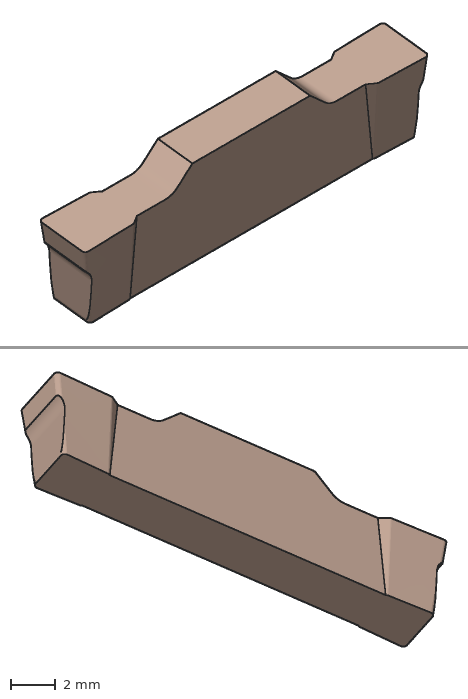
import cadquery as cq
import math

length = 20.6
height = 5.77
front_width = 3.1

body_width = 2.3
deck_height = 4.57
plateau_length = 7.05
ramp_angle = 45.0
ramp_blend_radius = 1.03

neck_start = 6.84
neck_end = 7.31
neck_width = 2.93
side_draft = 0.27
end_draft = 0.54
corner_radius = 0.2
neck_radius = 0.2
head_overlap = 0.62

relief_face = 9.78
relief_straight_height = 2.58
relief_radius = 0.95
relief_sweep = 60.0
relief_margin = 1.03

half_length = length / 2
half_body = body_width / 2


def make_body():
    """Extrude the long side outline, with ramps blended into the deck."""
    angle = math.radians(ramp_angle)
    arc_rise = ramp_blend_radius * (1 - math.cos(angle))
    arc_run = ramp_blend_radius * math.sin(angle)
    plateau_end = plateau_length / 2
    arc_top = deck_height + arc_rise
    arc_start = plateau_end + (height - arc_top) / math.tan(angle)
    arc_end = arc_start + arc_run
    middle_y = arc_end - ramp_blend_radius * math.sin(angle / 2)
    middle_z = deck_height + ramp_blend_radius * (1 - math.cos(angle / 2))
    return (
        cq.Workplane("YZ")
        .moveTo(-neck_start, 0)
        .lineTo(neck_start, 0)
        .lineTo(neck_start, deck_height)
        .lineTo(arc_end, deck_height)
        .threePointArc((middle_y, middle_z), (arc_start, arc_top))
        .lineTo(plateau_end, height)
        .lineTo(-plateau_end, height)
        .lineTo(-arc_start, arc_top)
        .threePointArc((-middle_y, middle_z), (-arc_end, deck_height))
        .lineTo(-neck_start, deck_height)
        .close()
        .extrude(half_body, both=True)
    )


def head_outline(side_inset, end_inset):
    """Return the horizontal head outline, moved inwards by the drafts."""
    neck_half = neck_width / 2 - side_inset
    front_half = front_width / 2 - side_inset
    neck_slope = (neck_end - neck_start) / (neck_width / 2 - half_body)
    slope_start = neck_end - neck_slope * (neck_half - half_body)
    right_side = [
        (half_body, neck_start - head_overlap),
        (half_body, slope_start),
        (neck_half, neck_end),
        (front_half, half_length - end_inset),
    ]
    left_side = [(-x, y) for x, y in reversed(right_side)]
    return right_side + left_side


def make_relief():
    """Make the cutter for the upright end face and the hollow arc above it."""
    sweep = math.radians(relief_sweep)
    centre_y = relief_face + relief_radius

    def arc_point(angle):
        y = centre_y - relief_radius * math.cos(angle)
        z = relief_straight_height + relief_radius * math.sin(angle)
        return y, z

    arc_end = arc_point(sweep)
    outer_y = half_length + relief_margin
    return (
        cq.Workplane("YZ")
        .moveTo(relief_face, -relief_margin)
        .lineTo(relief_face, relief_straight_height)
        .threePointArc(arc_point(sweep / 2), arc_end)
        .lineTo(outer_y, arc_end[1])
        .lineTo(outer_y, -relief_margin)
        .close()
        .extrude(front_width, both=True)
    )


def round_upright_edges(solid, edge_y, radius):
    """Fillet the upright edges centred between bottom and deck near edge_y."""
    nearby = cq.selectors.BoxSelector(
        (-front_width, edge_y - radius / 2, deck_height / 4),
        (front_width, edge_y + radius / 2, deck_height * 3 / 4),
    )
    return solid.edges(nearby).fillet(radius)


def make_head():
    """Make the drafted head at the +Y end, with rounded upright edges."""
    head = (
        cq.Workplane("XY")
        .polyline(head_outline(side_draft, end_draft))
        .close()
        .workplane(offset=deck_height)
        .polyline(head_outline(0, 0))
        .close()
        .loft(ruled=True)
    )
    head = round_upright_edges(head, half_length - end_draft / 2, corner_radius)
    head = round_upright_edges(head, neck_end, neck_radius)
    return head.cut(make_relief())


head = make_head()
result = make_body().union(head).union(head.mirror("XZ")).clean()